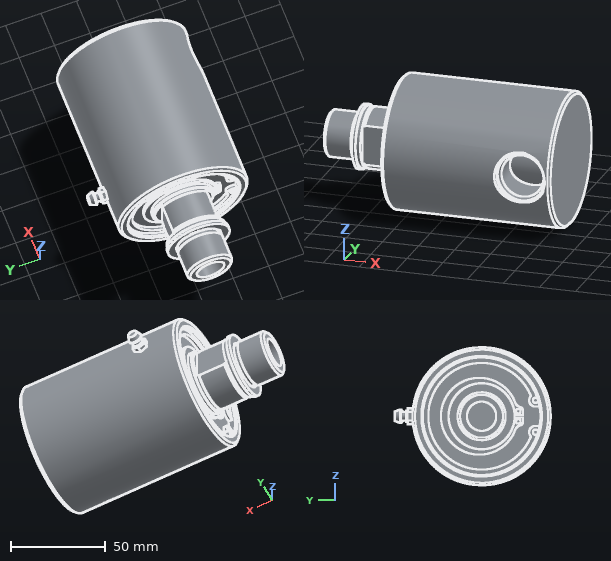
import cadquery as cq
import math

total_length = 133.5

housing_diameter = 73.0
housing_front = 39.5
housing_chamfer_length = 1.5
housing_chamfer_depth = 1.3
recess_diameter = 62.1
recess_lead = 0.8
cover_face = 43.9

thread_diameter = 25.4
thread_end = 15.2
tip_chamfer = 1.3
neck_diameter = 23.2
neck_start = 15.6
flange_diameter = 35.0
flange_start = 17.5
flange_end = 19.4
flange_recess_diameter = thread_diameter
flange_recess_depth = 1.0
shank_diameter = 33.2
shank_start = 23.0
shank_end = 38.7
shank_chamfer = 0.33
collar_end = 22.2
flats_end = 39.6
bearing_diameter = 34.8
bearing_start = 40.6
flat_width = 25.0
bore_diameter = 15.5

shaft_ring_thickness = 1.5
shaft_ring_radius = 20.3
shaft_ring_offset = 1.2
shaft_lug_outer = 21.9
shaft_lug_width = 9.9
shaft_lug_corner = 2.1
shaft_lug_blend = 3.3
shaft_ring_gap = 1.2
shaft_hole_diameter = 2.5
shaft_hole_y = -19.4
shaft_hole_z = 2.7

housing_ring_thickness = 2.0
housing_ring_inner_radius = 28.2
housing_lug_radius = 3.3
housing_hole_diameter = 2.8
housing_hole_y = -28.5
housing_hole_z = 8.4

port_x = 116.5
port_mouth_diameter = 23.2
port_diameter = 22.7
spotface_diameter = 28.0
spotface_y = -32.7
port_chamfer_diameter = 26.4
port_chamfer_depth = 1.6

nipple_x = 60.5
hex_flats = 7.3
hex_top = 39.0
collar_diameter = 6.3
collar_top_radius = 3.0
collar_top = 39.8
waist_radius = 2.3
waist_y = 40.9
head_root_radius = 2.7
head_root = 41.8
head_diameter = 7.3
head_start = 42.5
head_end = 43.0
head_tip_radius = 2.5
nipple_height = 9.3

housing_radius = housing_diameter / 2
recess_radius = recess_diameter / 2


def cylinder_x(diameter, start, end):
    """Cylinder on the X axis between two X positions."""
    return cq.Workplane("YZ", origin=(start, 0, 0)).circle(diameter / 2).extrude(end - start)


def plate(back_face, thickness):
    """Sketch plane (local X = Y, local Y = Z) one thickness in front of a face."""
    return cq.Workplane("YZ", origin=(back_face - thickness, 0, 0))


def make_housing():
    """Chamfered cylinder with a shallow round recess in its front face."""
    face_radius = housing_radius - housing_chamfer_depth
    lead_radius = recess_radius + recess_lead
    outline = [
        (cover_face, 0),
        (cover_face, recess_radius),
        (housing_front + recess_lead, recess_radius),
        (housing_front, lead_radius),
        (housing_front, face_radius),
        (housing_front + housing_chamfer_length, housing_radius),
        (total_length - housing_chamfer_length, housing_radius),
        (total_length, face_radius),
        (total_length, 0),
    ]
    return cq.Workplane("XY").polyline(outline).close().revolve(360, (0, 0, 0), (1, 0, 0))


def make_shaft():
    """Threaded tip, flange with an undercut around the neck, flatted shank and bearing seat."""
    thread_radius = thread_diameter / 2
    neck_radius = neck_diameter / 2
    tip_outline = [
        (0, 0),
        (0, thread_radius - tip_chamfer),
        (tip_chamfer, thread_radius),
        (thread_end, thread_radius),
        (neck_start, neck_radius),
        (flange_end, neck_radius),
        (flange_end, 0),
    ]
    shaft = cq.Workplane("XY").polyline(tip_outline).close().revolve(360, (0, 0, 0), (1, 0, 0))
    flange = cylinder_x(flange_diameter, flange_start, flange_end)
    recess_end = flange_start + flange_recess_depth
    recess = cylinder_x(flange_recess_diameter, flange_start, recess_end)
    shaft = shaft.union(flange.cut(recess))

    collar = cylinder_x(shank_diameter, flange_end, collar_end).faces(">X").chamfer(shank_chamfer)
    shank = cylinder_x(shank_diameter, shank_start, shank_end).faces("<X or >X").chamfer(shank_chamfer)
    relief = cylinder_x(shank_diameter - 2 * shank_chamfer, flange_end, bearing_start)
    shank = relief.union(collar).union(shank)
    flats_start = collar_end - shank_chamfer
    flats_length = flats_end - flats_start
    for side in (1, -1):
        flat_cut = cq.Workplane("XY").box(flats_length, shank_diameter, shank_diameter).translate(
            ((flats_start + flats_end) / 2, side * (flat_width + shank_diameter) / 2, 0)
        )
        shank = shank.cut(flat_cut)
    shaft = shaft.union(shank)
    return shaft.union(cylinder_x(bearing_diameter, bearing_start, cover_face))


def make_shaft_ring():
    """Eccentric open ring whose two eyed lugs meet on the -Y side."""
    sketch = plate(cover_face, shaft_ring_thickness)
    ring = sketch.center(shaft_ring_offset, 0).circle(shaft_ring_radius).extrude(shaft_ring_thickness)
    lugs = (
        sketch
        .center(-shaft_lug_outer / 2, 0)
        .rect(shaft_lug_outer, shaft_lug_width)
        .extrude(shaft_ring_thickness)
        .edges("|X and <Y")
        .fillet(shaft_lug_corner)
    )
    ring = ring.union(lugs)
    lug_root_y = shaft_ring_offset - math.sqrt(shaft_ring_radius**2 - (shaft_lug_width / 2) ** 2)
    for side in (1, -1):
        root = (cover_face - shaft_ring_thickness / 2, lug_root_y, side * shaft_lug_width / 2)
        ring = ring.edges(cq.selectors.NearestToPointSelector(root)).fillet(shaft_lug_blend)
    eyes = (
        sketch
        .pushPoints([(shaft_hole_y, shaft_hole_z), (shaft_hole_y, -shaft_hole_z)])
        .circle(shaft_hole_diameter / 2)
        .extrude(shaft_ring_thickness)
    )
    gap = (
        sketch
        .center(-shaft_lug_outer / 2, 0)
        .rect(shaft_lug_outer, shaft_ring_gap)
        .extrude(shaft_ring_thickness)
    )
    return ring.cut(eyes).cut(gap)


def make_housing_ring():
    """Open ring against the recess wall, ending in two eyed lugs on the -Y side."""
    sketch = plate(cover_face, housing_ring_thickness)
    recess_disc = sketch.circle(recess_radius).extrude(housing_ring_thickness)
    ring = recess_disc.cut(sketch.circle(housing_ring_inner_radius).extrude(housing_ring_thickness))
    opening = (
        sketch.center(-recess_radius, 0)
        .rect(recess_radius, 2 * housing_hole_z)
        .extrude(housing_ring_thickness)
    )
    ring = ring.cut(opening)
    tail_length = recess_radius + housing_hole_y
    for side in (1, -1):
        lug_center = sketch.center(housing_hole_y, side * housing_hole_z)
        lug = lug_center.circle(housing_lug_radius).extrude(housing_ring_thickness)
        tail = (
            lug_center.center(-tail_length / 2, 0)
            .rect(tail_length, 2 * housing_lug_radius)
            .extrude(housing_ring_thickness)
        )
        eye = lug_center.circle(housing_hole_diameter / 2).extrude(housing_ring_thickness)
        ring = ring.union(lug.union(tail).intersect(recess_disc)).cut(eye)
    return ring


def make_port_cutter():
    """Spotfaced, chamfered and slightly tapered side hole that ends on the bearing diameter."""
    outline = [
        (0, -housing_radius),
        (spotface_diameter / 2, -housing_radius),
        (spotface_diameter / 2, spotface_y),
        (port_chamfer_diameter / 2, spotface_y),
        (port_mouth_diameter / 2, spotface_y + port_chamfer_depth),
        (port_diameter / 2, -bearing_diameter / 2),
        (port_diameter / 2, 0),
        (0, 0),
    ]
    cutter = cq.Workplane("XY").polyline(outline).close().revolve(360, (0, 0, 0), (0, 1, 0))
    cutter = cutter.translate((port_x, 0, 0))
    return cutter.cut(cylinder_x(bearing_diameter, cover_face, total_length))


def make_nipple():
    """Hexagon base and waisted round head standing on the +Y side."""
    root_y = housing_radius - housing_chamfer_depth
    tip_y = housing_radius + nipple_height
    collar_radius = collar_diameter / 2
    head_radius = head_diameter / 2
    hex_corners = hex_flats / math.cos(math.pi / 6)
    hexagon = (
        cq.Workplane("XZ", origin=(0, hex_top, 0))
        .transformed(rotate=(0, 0, 90))
        .polygon(6, hex_corners)
        .extrude(hex_top - root_y)
    )
    head = (
        cq.Workplane("XY")
        .moveTo(0, root_y)
        .lineTo(collar_radius, root_y)
        .lineTo(collar_radius, hex_top)
        .lineTo(collar_top_radius, collar_top)
        .threePointArc((waist_radius, waist_y), (head_root_radius, head_root))
        .lineTo(head_radius, head_start)
        .lineTo(head_radius, head_end)
        .lineTo(head_tip_radius, tip_y)
        .lineTo(0, tip_y)
        .close()
        .revolve(360, (0, 0, 0), (0, 1, 0))
    )
    return hexagon.union(head).translate((nipple_x, 0, 0))


result = (
    make_housing()
    .union(make_housing_ring())
    .union(make_shaft_ring())
    .union(make_shaft())
    .union(make_nipple())
    .cut(make_port_cutter())
    .cut(cylinder_x(bore_diameter, 0, port_x))
)